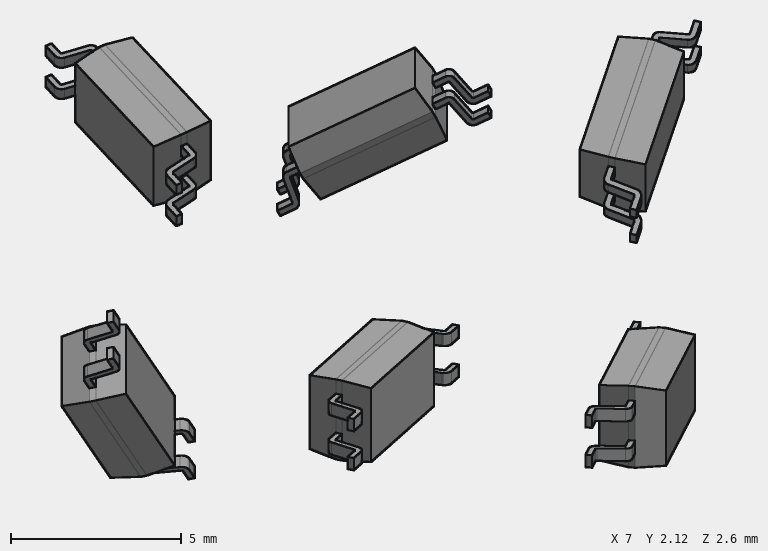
import cadquery as cq
import math

lead_span = 7.0
body_length = 4.4
body_height = 2.6
body_depth = 2.0
standoff = 0.12

band_depth = 0.2
taper_inset = 0.1

lead_thickness = 0.2
lead_width = 0.4
lead_pitch = 1.27
foot_length = 0.515
leg_angle = 10.0
shoulder_bend_radius = lead_thickness
heel_inner_radius = 0.04
heel_outer_radius = heel_inner_radius + lead_thickness

foot_bottom = -body_depth / 2 - standoff
foot_top = foot_bottom + lead_thickness
arm_bottom = -lead_thickness / 2
arm_top = lead_thickness / 2


def make_tapered_half(direction):
    """Frustum from the band to the flat face on the +Y (1) or -Y (-1) side."""
    half_depth = (body_depth - band_depth) / 2
    plane = cq.Plane(
        origin=(0, direction * band_depth / 2, 0),
        xDir=(1, 0, 0),
        normal=(0, direction, 0),
    )
    return (
        cq.Workplane(plane)
        .rect(body_length, body_height)
        .workplane(offset=half_depth)
        .rect(body_length - 2 * taper_inset, body_height - 2 * taper_inset)
        .loft(ruled=True)
    )


def make_body():
    """Straight band with a tapered half on each side."""
    band = cq.Workplane("XY").box(body_length, band_depth, body_height)
    return band.union(make_tapered_half(1)).union(make_tapered_half(-1))


def round_corner(lead, corner, z_center, radius):
    """Fillet the lead edge that runs along Z through the given profile corner."""
    nearest = cq.selectors.NearestToPointSelector((*corner, z_center))
    return lead.edges("|Z").edges(nearest).fillet(radius)


def make_lead(z_center):
    """Lead on the -X side: foot, sloping leg and arm ending at the body band."""
    angle = math.radians(leg_angle)
    leg_width_x = lead_thickness / math.cos(angle)
    tip_x = -lead_span / 2
    body_end_x = -body_length / 2
    heel_x = tip_x + foot_length

    def leg_outer_x(y):
        return heel_x + (y - foot_top) * math.tan(angle)

    def leg_inner_x(y):
        return leg_outer_x(y) + leg_width_x

    heel_inside = (heel_x, foot_top)
    heel_outside = (leg_inner_x(foot_bottom), foot_bottom)
    shoulder_outside = (leg_outer_x(arm_top), arm_top)
    shoulder_inside = (leg_inner_x(arm_bottom), arm_bottom)
    profile = [
        (tip_x, foot_bottom),
        (tip_x, foot_top),
        heel_inside,
        shoulder_outside,
        (body_end_x, arm_top),
        (body_end_x, arm_bottom),
        shoulder_inside,
        heel_outside,
    ]
    lead = (
        cq.Workplane("XY", origin=(0, 0, z_center - lead_width / 2))
        .polyline(profile)
        .close()
        .extrude(lead_width)
    )
    lead = round_corner(lead, shoulder_outside, z_center, shoulder_bend_radius)
    lead = round_corner(lead, heel_outside, z_center, heel_outer_radius)
    return round_corner(lead, heel_inside, z_center, heel_inner_radius)


result = make_body()
for side in (-1, 1):
    left_lead = make_lead(side * lead_pitch / 2)
    right_lead = left_lead.mirror("YZ")
    result = result.union(left_lead).union(right_lead)